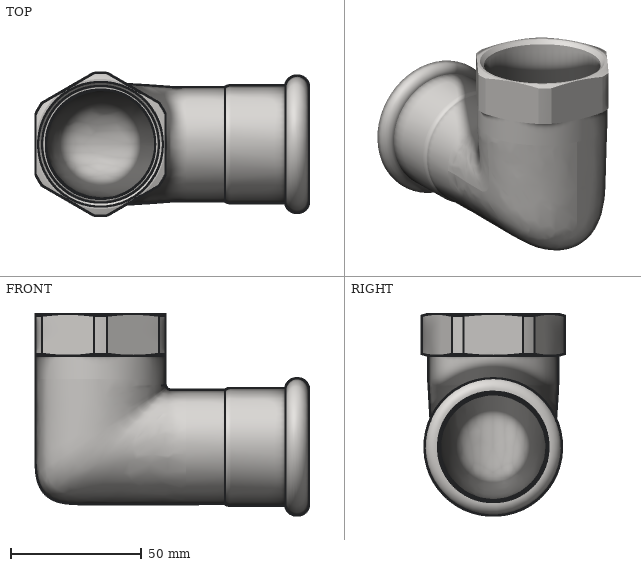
import cadquery as cq
import math


hex_across_flats = 50.0
hex_corner_diameter = 55.0
hex_height = 16.1
hex_corner_drop = 0.7
socket_top = 51.0
socket_end = 25.9
thread_diameter = 44.8
thread_mouth_diameter = 47.9
thread_mouth_depth = (thread_mouth_diameter - thread_diameter) / 2
thread_floor = 26.9
neck_diameter = hex_across_flats
neck_bore_diameter = 42.0

tube_start = 33.0
tube_diameter = 44.0
tube_bore_diameter = 41.0
step_start = 47.8
step_end = 50.0
sleeve_diameter = 45.4
sleeve_bore_diameter = 42.4
bead_diameter = 52.8
bead_width = 9.2
overall_length = 105.0
sleeve_end = overall_length - hex_across_flats / 2

heel_radius = 13.6
heel_bore_radius = 11.5
throat_radius = 2.0
bend_steps = 12
pivot_x = neck_diameter / 2 + throat_radius
pivot_z = tube_diameter / 2 + throat_radius


def heel_distance(angle, width, height, corner_radius):
    """Distance from the pivot to the rounded heel, on a line turned down by the angle from the -X direction.

    The pivot lies the width from the back wall of the bend and the height from its underside.
    """
    centre_left = width - corner_radius
    centre_down = height - corner_radius
    if width * math.sin(angle) <= centre_down * math.cos(angle):
        return width / math.cos(angle)
    if height * math.cos(angle) <= centre_left * math.sin(angle):
        return height / math.sin(angle)
    along = centre_left * math.cos(angle) + centre_down * math.sin(angle)
    across = centre_left * math.sin(angle) - centre_down * math.cos(angle)
    return along + math.sqrt(corner_radius**2 - across**2)


def fan_section(angle, start_radius, end_radius, corner_radius):
    """Elliptical section of the bend in the plane through the pivot at the angle."""
    share = angle / (math.pi / 2)
    across = cq.Vector(-math.cos(angle), 0, -math.sin(angle))
    normal = cq.Vector(math.sin(angle), 0, -math.cos(angle))
    near = (1 - share) * (pivot_x - start_radius) + share * (pivot_z - end_radius)
    far = heel_distance(angle, pivot_x + start_radius, pivot_z + end_radius, corner_radius)
    half_y = (1 - share) * start_radius + share * end_radius
    centre = cq.Vector(pivot_x, 0, pivot_z) + across * ((near + far) / 2)
    return cq.Wire.makeEllipse((far - near) / 2, half_y, centre, normal, across)


def round_section(radius, centre, normal, across):
    return cq.Wire.makeEllipse(radius, radius, cq.Vector(centre), cq.Vector(normal), cq.Vector(across))


def bend(start_diameter, end_diameter, corner_radius):
    """Solid bend lofted from the socket to the tube through sections that fan around the pivot."""
    start_radius = start_diameter / 2
    end_radius = end_diameter / 2
    sections = [
        round_section(start_radius, (0, 0, height), (0, 0, -1), (-1, 0, 0)) for height in (socket_end, pivot_z)
    ]
    for step in range(1, bend_steps):
        angle = math.pi / 2 * step / bend_steps
        sections.append(fan_section(angle, start_radius, end_radius, corner_radius))
    for distance in (pivot_x, tube_start):
        sections.append(round_section(end_radius, (distance, 0, 0), (1, 0, 0), (0, 0, -1)))
    return cq.Workplane(cq.Solid.makeLoft(sections))


def hexagon():
    """Hexagonal collar with clipped corners and conical chamfers above and below."""
    flat_radius = hex_across_flats / 2
    corner_radius = hex_corner_diameter / 2
    bottom = socket_top - hex_height
    prism = (
        cq.Workplane("XY", origin=(0, 0, bottom))
        .polygon(6, hex_across_flats, circumscribed=True)
        .extrude(hex_height)
    )
    envelope = (
        cq.Workplane("XZ")
        .moveTo(0, bottom)
        .lineTo(flat_radius, bottom)
        .lineTo(corner_radius, bottom + hex_corner_drop)
        .lineTo(corner_radius, socket_top - hex_corner_drop)
        .lineTo(flat_radius, socket_top)
        .lineTo(0, socket_top)
        .close()
        .revolve(360, (0, 0, 0), (0, 1, 0))
    )
    return prism.intersect(envelope)


def neck():
    height = socket_top - hex_height - socket_end
    return cq.Workplane("XY", origin=(0, 0, socket_end)).circle(neck_diameter / 2).extrude(height)


def socket_bore():
    return (
        cq.Workplane("XZ")
        .moveTo(0, socket_end)
        .lineTo(neck_bore_diameter / 2, socket_end)
        .lineTo(neck_bore_diameter / 2, thread_floor)
        .lineTo(thread_diameter / 2, thread_floor)
        .lineTo(thread_diameter / 2, socket_top - thread_mouth_depth)
        .lineTo(thread_mouth_diameter / 2, socket_top)
        .lineTo(0, socket_top)
        .close()
        .revolve(360, (0, 0, 0), (0, 1, 0))
    )


def sleeve():
    """Tube, rounded step and press sleeve turned about the X axis, ending inside the bead."""
    step_height = (sleeve_diameter - tube_diameter) / 2
    step_length = step_end - step_start
    step_radius = (step_length**2 + step_height**2) / (2 * step_height)
    bead_middle = sleeve_end - bead_width / 2
    return (
        cq.Workplane("XZ")
        .moveTo(tube_start, 0)
        .lineTo(tube_start, tube_diameter / 2)
        .lineTo(step_start, tube_diameter / 2)
        .radiusArc((step_end, sleeve_diameter / 2), step_radius)
        .lineTo(bead_middle, sleeve_diameter / 2)
        .lineTo(bead_middle, 0)
        .close()
        .revolve(360, (0, 0, 0), (1, 0, 0))
    )


def bead():
    """Disc with a half-round rim at the open end of the sleeve."""
    rim_radius = bead_width / 2
    rim_centre = bead_diameter / 2 - rim_radius
    bead_start = sleeve_end - bead_width
    return (
        cq.Workplane("XZ")
        .moveTo(bead_start, 0)
        .lineTo(bead_start, rim_centre)
        .threePointArc((bead_start + rim_radius, bead_diameter / 2), (sleeve_end, rim_centre))
        .lineTo(sleeve_end, 0)
        .close()
        .revolve(360, (0, 0, 0), (1, 0, 0))
    )


def sleeve_bore():
    tube_bore = (
        cq.Workplane("YZ", origin=(tube_start, 0, 0))
        .circle(tube_bore_diameter / 2)
        .extrude(sleeve_end - tube_start)
    )
    press_bore = (
        cq.Workplane("YZ", origin=(step_end, 0, 0))
        .circle(sleeve_bore_diameter / 2)
        .extrude(sleeve_end - step_end)
    )
    return tube_bore.union(press_bore)


outer_bend = bend(neck_diameter, tube_diameter, heel_radius)
body = outer_bend.union(neck()).union(hexagon()).union(sleeve()).union(bead())

bore_bend = bend(neck_bore_diameter, tube_bore_diameter, heel_bore_radius)
passage = bore_bend.union(socket_bore()).union(sleeve_bore())

result = body.cut(passage)